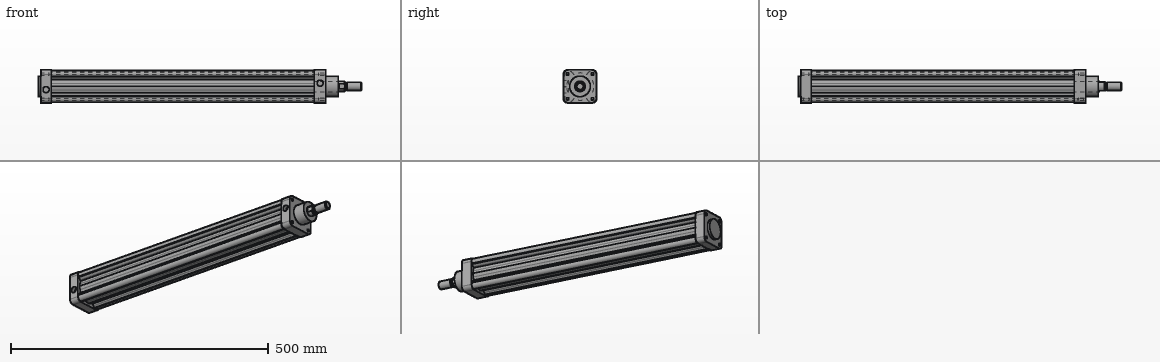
import cadquery as cq
import math


rear_boss_length = 5.0
rear_cap_length = 20.0
barrel_length = 512.0
front_cap_length = 22.0
front_boss_length = 24.5
total_length = 629.0

rear_cap_x = rear_boss_length
barrel_x = rear_cap_x + rear_cap_length
front_cap_x = barrel_x + barrel_length
front_cap_end_x = front_cap_x + front_cap_length
front_boss_end_x = front_cap_end_x + front_boss_length

cap_side = 65.0
cap_corner_radius = 9.0
boss_diameter = 40.0
screw_pitch = 48.5
screw_hole_diameter = 5.0
screw_hole_depth = 15.0
port_diameter = 12.0
port_depth = 9.5
port_offset = 6.0

corner_center = screw_pitch / 2
corner_radius = 7.0
core_radius = 26.5
ridge_half_width = 6.0
core_half_width = 12.5
flank_inner = 14.5
lip_inner = 18.0
lip_outer = 20.0

rod_diameter = 20.0
wrench_flat_gap = 2.0
wrench_flat_width = 17.5
shoulder_chamfer = 2.0
neck_diameter = 13.0
neck_length = 2.5
thread_diameter = 16.5
thread_length = 29.5
thread_chamfer = 2.0

thread_x = total_length - thread_length
shoulder_x = thread_x - neck_length


def cylinder_along_x(diameter, start, length):
    """Solid cylinder on the X axis."""
    return cq.Workplane("YZ", origin=(start, 0, 0)).circle(diameter / 2).extrude(length)


def cap_block(start, length, port_z):
    """Square cap with rounded long corners and a blind port in its -Y side."""
    block = (
        cq.Workplane("YZ", origin=(start, 0, 0))
        .rect(cap_side, cap_side)
        .extrude(length)
        .edges("|X")
        .fillet(cap_corner_radius)
    )
    port = (
        cq.Workplane("XZ", origin=(start + length / 2, -cap_side / 2, port_z))
        .circle(port_diameter / 2)
        .extrude(-port_depth)
    )
    return block.cut(port)


def screw_holes(face_x, direction):
    """Four blind corner holes running from a cap face in the given X direction."""
    return (
        cq.Workplane("YZ", origin=(face_x, 0, 0))
        .rect(screw_pitch, screw_pitch, forConstruction=True)
        .vertices()
        .circle(screw_hole_diameter / 2)
        .extrude(direction * screw_hole_depth)
    )


def make_rear_cap():
    cap = cap_block(rear_cap_x, rear_cap_length, -port_offset)
    boss = cylinder_along_x(boss_diameter, 0, rear_boss_length)
    return cap.union(boss).cut(screw_holes(rear_cap_x, 1))


def make_front_cap():
    cap = cap_block(front_cap_x, front_cap_length, port_offset)
    boss = cylinder_along_x(boss_diameter, front_cap_end_x, front_boss_length)
    rod_bore = cylinder_along_x(rod_diameter, front_cap_x, front_cap_length + front_boss_length)
    return cap.union(boss).cut(rod_bore).cut(screw_holes(front_cap_end_x, -1))


def core_point(offset):
    """Point of the round core at a sideways offset from the middle of the top side."""
    return (offset, math.sqrt(core_radius**2 - offset**2))


def turned(point, quarter_turns):
    """Rotate a profile point about the axis in exact quarter turns."""
    across, up = point
    for _ in range(quarter_turns):
        across, up = up, -across
    return (across, up)


def mirrored(point, quarter_turns):
    """Mirror a profile point in the corner diagonal, then rotate it in quarter turns."""
    across, up = point
    return turned((up, across), quarter_turns)


def make_barrel():
    """Extruded profile: four round corner columns, and a ridged round core between grooves."""
    ridge_edge = core_point(ridge_half_width)
    core_middle = core_point((ridge_half_width + core_half_width) / 2)
    core_edge = core_point(core_half_width)
    ridge_peak = (0, core_radius**2 / ridge_edge[1])

    lip_height = corner_center + math.sqrt(corner_radius**2 - (corner_center - lip_outer) ** 2)
    lip_end = (lip_outer, lip_height)
    flank_top = (lip_inner, lip_height)
    flank_foot = (flank_inner, lip_height - (lip_inner - flank_inner))

    corner_reach = corner_center + corner_radius * math.sqrt(0.5)
    corner_middle = (corner_reach, corner_reach)

    profile = cq.Workplane("YZ", origin=(barrel_x, 0, 0)).moveTo(*ridge_peak)
    for quarter in range(4):
        profile = (
            profile.lineTo(*turned(ridge_edge, quarter))
            .threePointArc(turned(core_middle, quarter), turned(core_edge, quarter))
            .lineTo(*turned(flank_foot, quarter))
            .lineTo(*turned(flank_top, quarter))
            .lineTo(*turned(lip_end, quarter))
            .threePointArc(turned(corner_middle, quarter), mirrored(lip_end, quarter))
            .lineTo(*mirrored(flank_top, quarter))
            .lineTo(*mirrored(flank_foot, quarter))
            .lineTo(*mirrored(core_edge, quarter))
            .threePointArc(mirrored(core_middle, quarter), mirrored(ridge_edge, quarter))
            .lineTo(*mirrored(ridge_peak, quarter))
        )
    return profile.close().extrude(barrel_length)


def make_rod():
    """Rod with two wrench flats, an undercut neck and a chamfered thread end."""
    shank = cylinder_along_x(rod_diameter, front_cap_x, shoulder_x - front_cap_x)
    shank = shank.faces(">X").chamfer(shoulder_chamfer)
    flats_x = front_boss_end_x + wrench_flat_gap
    flats_length = shoulder_x - flats_x
    flat_offset = (wrench_flat_width + rod_diameter) / 2
    for side in (1, -1):
        flat_cut = (
            cq.Workplane("XY")
            .box(flats_length, rod_diameter, rod_diameter, centered=(False, True, True))
            .translate((flats_x, side * flat_offset, 0))
        )
        shank = shank.cut(flat_cut)
    neck = cylinder_along_x(neck_diameter, shoulder_x, neck_length)
    thread = cylinder_along_x(thread_diameter, thread_x, thread_length)
    thread = thread.faces("<X or >X").chamfer(thread_chamfer)
    return shank.union(neck).union(thread)


rear_cap = make_rear_cap()
barrel = make_barrel()
front_cap = make_front_cap()
rod = make_rod()

result = cq.Compound.makeCompound([rear_cap.val(), barrel.val(), front_cap.val(), rod.val()])